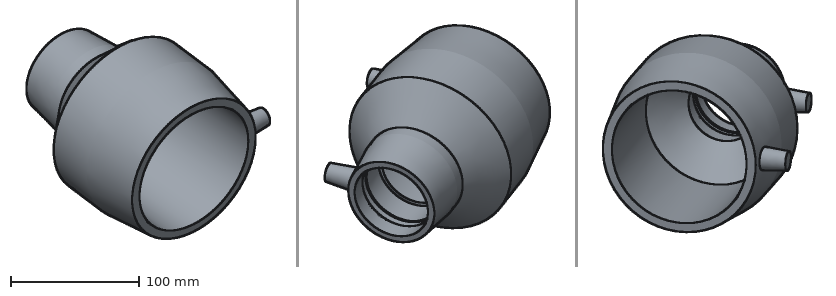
import cadquery as cq

total_length = 161.0
small_end_dia = 74.0
neck_dia = 82.0
body_dia = 139.0
large_end_dia = 125.0

small_taper_length = 34.5
neck_length = 10.0
body_length = 41.5
large_taper_length = 46.5

small_socket_dia = 63.0
socket_groove_dia = 65.0
socket_groove_start = 14.8
socket_groove_width = 7.7
passage_dia = 56.7
large_socket_dia = 110.0

shroud_tip_dia = 15.5
shroud_slope = 0.08
small_shroud_x = 15.9
small_shroud_tip_y = 61.0
large_shroud_x = 144.9
large_shroud_tip_y = 84.0

neck_start = small_taper_length
neck_end = neck_start + neck_length
large_taper_start = total_length - large_taper_length
body_start = large_taper_start - body_length
socket_groove_end = socket_groove_start + socket_groove_width
shoulder_x = neck_end
inner_cone_end = shoulder_x + (large_socket_dia - passage_dia) / 2


def turned(points):
    """Revolve a closed (x, diameter) outline about the X axis."""
    outline = [(x, diameter / 2) for x, diameter in points]
    return cq.Workplane("XY").polyline(outline).close().revolve(360, (0, 0, 0), (1, 0, 0))


def outer_body():
    """Solid outer shape: small taper, neck, 45 degree cone, cylinder and large taper."""
    return turned([
        (0, 0),
        (0, small_end_dia),
        (neck_start, neck_dia),
        (neck_end, neck_dia),
        (body_start, body_dia),
        (large_taper_start, body_dia),
        (total_length, large_end_dia),
        (total_length, 0),
    ])


def bore():
    """Grooved small socket, shoulder, widening passage and large socket, as one solid."""
    return turned([
        (0, 0),
        (0, small_socket_dia),
        (socket_groove_start, small_socket_dia),
        (socket_groove_start, socket_groove_dia),
        (socket_groove_end, socket_groove_dia),
        (socket_groove_end, small_socket_dia),
        (shoulder_x, small_socket_dia),
        (shoulder_x, passage_dia),
        (inner_cone_end, large_socket_dia),
        (total_length, large_socket_dia),
        (total_length, 0),
    ])


def shroud(x, tip_y, root_y):
    """Tapered stud on +Y, wider at the root than at the tip."""
    tip_radius = shroud_tip_dia / 2
    height = tip_y - root_y
    root_radius = tip_radius + shroud_slope * height
    root_center = cq.Vector(x, root_y, 0)
    cone = cq.Solid.makeCone(root_radius, tip_radius, height, root_center, cq.Vector(0, 1, 0))
    return cq.Workplane(cone)


small_shroud = shroud(small_shroud_x, small_shroud_tip_y, small_socket_dia / 2)
large_shroud = shroud(large_shroud_x, large_shroud_tip_y, large_socket_dia / 2)

result = outer_body().union(small_shroud).union(large_shroud).cut(bore())